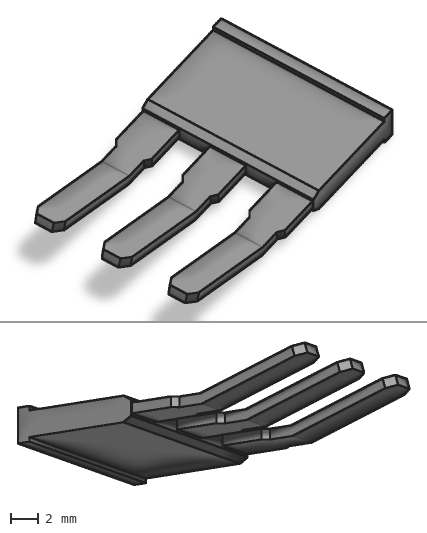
import cadquery as cq
import math

overall_length = 24.88

body_width = 15.4
body_length = 9.98
body_thickness = 2.02
flange_thickness = 2.7
flange_length = 1.02
nose_bevel_length = 0.67
nose_bevel_height = 0.4

prong_count = 3
prong_pitch = 6.0
prong_thickness = 0.82
root_width = 3.23
blade_width = 2.5
shoulder_start = 3.45
shoulder_end = 3.95
root_overlap = 1.25

bend_angle = 17.0
blade_length = 9.28
tip_width = 1.52
tip_length = 0.85

nose_y = -body_length
half_prong = prong_thickness / 2

angle = math.radians(bend_angle)
tip_y = -overall_length + prong_thickness * math.sin(angle)
tip_z = half_prong + blade_length * math.sin(angle)
bend_y = tip_y + blade_length * math.cos(angle)


def make_body():
    """Extrude the upper half of the side profile and mirror it in Z."""
    half_body = body_thickness / 2
    half_flange = flange_thickness / 2
    upper_half = (
        cq.Workplane("YZ")
        .polyline([
            (0, 0),
            (0, half_flange),
            (-flange_length, half_flange),
            (-flange_length, half_body),
            (nose_y + nose_bevel_length, half_body),
            (nose_y, half_body - nose_bevel_height),
            (nose_y, 0),
        ])
        .close()
        .extrude(body_width / 2, both=True)
    )
    return upper_half.union(upper_half.mirror("XY"))


def make_prong():
    """Bent strip of constant thickness with a wide root and a tapered tip."""
    mitre_shift = prong_thickness * math.tan(angle / 2)
    root_y = nose_y + root_overlap

    strip = (
        cq.Workplane("YZ")
        .polyline([
            (root_y, half_prong),
            (bend_y, half_prong),
            (tip_y, tip_z),
            (-overall_length, tip_z - prong_thickness * math.cos(angle)),
            (bend_y - mitre_shift, -half_prong),
            (root_y, -half_prong),
        ])
        .close()
        .extrude(blade_width / 2, both=True)
    )

    root = (
        cq.Workplane("XY", origin=(0, 0, -half_prong))
        .polyline([
            (-root_width / 2, root_y),
            (root_width / 2, root_y),
            (root_width / 2, nose_y - shoulder_start),
            (blade_width / 2, nose_y - shoulder_end),
            (-blade_width / 2, nose_y - shoulder_end),
            (-root_width / 2, nose_y - shoulder_start),
        ])
        .close()
        .extrude(prong_thickness)
    )

    tip_plane = cq.Plane(
        origin=(0, tip_y, tip_z),
        xDir=(1, 0, 0),
        normal=(0, -math.sin(angle), -math.cos(angle)),
    )
    right_corner = (
        cq.Workplane(tip_plane)
        .polyline([
            (tip_width / 2, 0),
            (blade_width / 2, 0),
            (blade_width / 2, -tip_length),
        ])
        .close()
        .extrude(prong_thickness)
    )
    return strip.cut(right_corner).cut(right_corner.mirror("YZ")).union(root)


result = make_body()
prong = make_prong()
for index in range(prong_count):
    prong_x = (index - (prong_count - 1) / 2) * prong_pitch
    result = result.union(prong.translate((prong_x, 0, 0)))